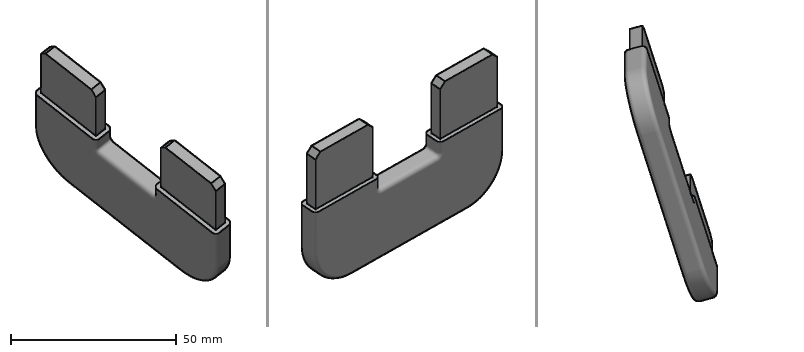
import cadquery as cq

overall_width = 77.6
overall_height = 52.7
housing_thickness = 7.0
housing_height = 31.6
corner_radius = 15.0
leg_width = 26.5
notch_depth = 5.1
notch_corner_radius = 1.0
wall = 1.5
edge_radius = 1.5
blade_chamfer = 2.0

notch_floor = housing_height - notch_depth
conductor_width = overall_width - 2 * wall
conductor_thickness = housing_thickness - 2 * wall
blade_width = leg_width - 2 * wall


def u_plate(width, bottom, top, floor, upright_width, thickness, outer_radius, inner_radius):
    """U-shaped plate centred on X and Y, with rounded lower and notch corners."""
    outer_x = width / 2
    inner_x = outer_x - upright_width
    plate = (
        cq.Workplane("XZ")
        .moveTo(-outer_x, top)
        .lineTo(-outer_x, bottom + outer_radius)
        .radiusArc((-outer_x + outer_radius, bottom), -outer_radius)
        .lineTo(outer_x - outer_radius, bottom)
        .radiusArc((outer_x, bottom + outer_radius), -outer_radius)
        .lineTo(outer_x, top)
        .lineTo(inner_x, top)
        .lineTo(inner_x, floor + inner_radius)
        .radiusArc((inner_x - inner_radius, floor), inner_radius)
        .lineTo(-inner_x + inner_radius, floor)
        .radiusArc((-inner_x, floor + inner_radius), inner_radius)
        .lineTo(-inner_x, top)
        .close()
        .extrude(thickness / 2, both=True)
    )
    return plate


def make_conductor():
    """U-shaped metal link whose two chamfered blades stand out of the housing."""
    plate = u_plate(
        width=conductor_width,
        bottom=wall,
        top=overall_height,
        floor=notch_floor - wall,
        upright_width=blade_width,
        thickness=conductor_thickness,
        outer_radius=corner_radius - wall,
        inner_radius=notch_corner_radius + wall,
    )
    blade_tip_corners = plate.faces(">Z").edges("|Y")
    return blade_tip_corners.chamfer(blade_chamfer)


def make_housing(conductor):
    """Insulating shell, flat on top, with a recess that fits the conductor."""
    plate = u_plate(
        width=overall_width,
        bottom=0,
        top=housing_height,
        floor=notch_floor,
        upright_width=leg_width,
        thickness=housing_thickness,
        outer_radius=corner_radius,
        inner_radius=notch_corner_radius,
    )
    outline_edges = plate.faces("<Y or >Y").edges("not(>Z)")
    return outline_edges.fillet(edge_radius).cut(conductor)


conductor = make_conductor()
housing = make_housing(conductor)

result = cq.Compound.makeCompound([housing.solids().val(), conductor.solids().val()])